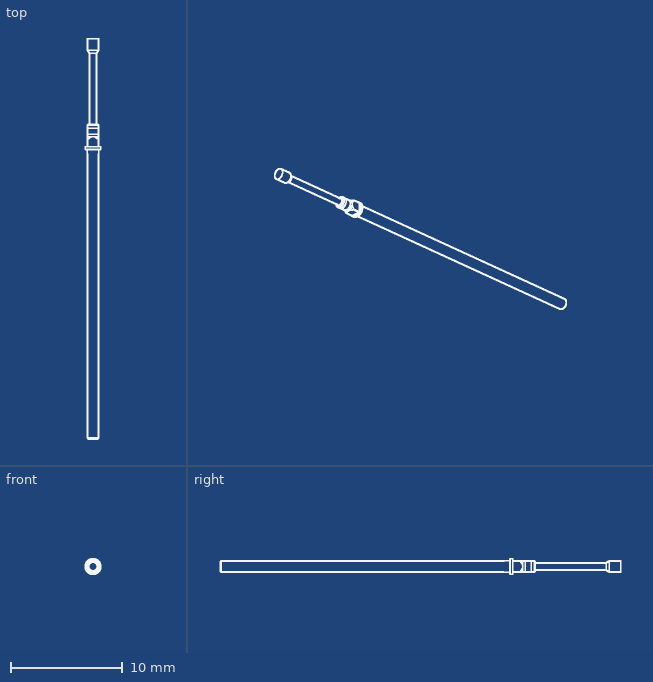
import cadquery as cq


total_length = 35.9
tip_length = 9.95
barrel_length = total_length - tip_length

head_diameter = 1.02
head_length = 1.05
head_cone_length = 0.27
plunger_diameter = 0.64

flange_diameter = 1.4
flange_thickness = 0.27
flange_chamfer = 0.06
shoulder_diameter = 1.06
shoulder_length = 0.72

barrel_diameter = 1.02
barrel_end_chamfer = 0.12

square_width = 1.0
square_corner_diameter = 1.36
square_length = 0.9
square_lead_in = 0.22

collar_diameter = 1.02
collar_end = 2.28
collar_chamfer = 0.1
groove_depth = 0.03
groove_width = 0.2
groove_centres = (1.37, 1.91)


def turned(points):
    """Solid of revolution about Y through (radius, y) points, closed on the axis."""
    profile = [(y, radius) for radius, y in points]
    outline = [(profile[0][0], 0)] + profile + [(profile[-1][0], 0)]
    return cq.Workplane("YZ").polyline(outline).close().revolve(360, (0, 0, 0), (1, 0, 0))


def make_barrel():
    """Long barrel with a chamfered end and a tapered shoulder under the stop flange."""
    barrel_radius = barrel_diameter / 2
    shoulder_radius = shoulder_diameter / 2
    flange_radius = flange_diameter / 2
    return turned([
        (barrel_radius - barrel_end_chamfer, -barrel_length),
        (barrel_radius, -barrel_length + barrel_end_chamfer),
        (barrel_radius, -shoulder_length),
        (shoulder_radius, 0),
        (flange_radius - flange_chamfer, 0),
        (flange_radius, flange_chamfer),
        (flange_radius, flange_thickness),
    ])


def make_square():
    """Square collar whose corners are turned round and coned towards the tip."""
    square_end = flange_thickness + square_length
    square = (
        cq.Workplane("XY")
        .box(square_width, square_length, square_width, centered=(True, False, True))
        .translate((0, flange_thickness, 0))
    )
    corner_limit = turned([
        (square_corner_diameter / 2, flange_thickness),
        (square_corner_diameter / 2, square_end - square_lead_in),
        (square_width / 2, square_end),
    ])
    return square.intersect(corner_limit)


def make_collar():
    """Round collar with a chamfered front and V-shaped ring grooves."""
    radius = collar_diameter / 2
    points = [(radius, flange_thickness + square_length)]
    for centre in groove_centres:
        points += [
            (radius, centre - groove_width / 2),
            (radius - groove_depth, centre),
            (radius, centre + groove_width / 2),
        ]
    points += [(radius, collar_end - collar_chamfer), (radius - collar_chamfer, collar_end)]
    return turned(points)


def make_plunger():
    """Thin plunger that widens through a short cone into the cylindrical contact head."""
    plunger_radius = plunger_diameter / 2
    head_radius = head_diameter / 2
    head_start = tip_length - head_length
    return turned([
        (plunger_radius, flange_thickness),
        (plunger_radius, head_start - head_cone_length),
        (head_radius, head_start),
        (head_radius, tip_length),
    ])


result = make_barrel().union(make_square()).union(make_collar()).union(make_plunger())